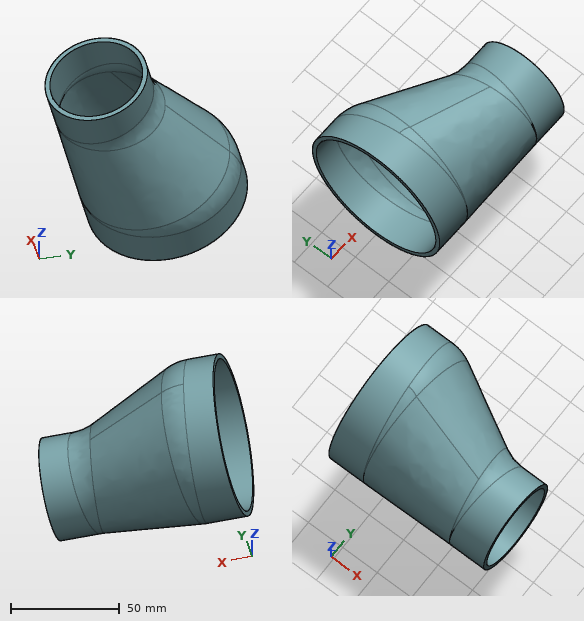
import cadquery as cq
import math

length = 90.0
large_diameter = 76.1
large_bore = 71.5
small_diameter = 48.3

large_radius = large_diameter / 2
small_radius = small_diameter / 2
wall = (large_diameter - large_bore) / 2
flush_side = -large_radius

large_joint = 20.1
small_joint = 70.1
slope = math.atan2(large_diameter - small_diameter, small_joint - large_joint)

bend_radius = 23.4
bend_tangent = bend_radius * math.tan(slope / 2)
bend_steps = 4

hinge_clearance = 0.45
hinge_y = flush_side - hinge_clearance


def section_ends(joint, top, bottom_y):
    """Top and bottom of a section in the plane through the joint's hinge line."""
    share = (bottom_y - hinge_y) / (top[1] - hinge_y)
    return top, (joint + share * (top[0] - joint), bottom_y)


def elliptical_wire(ends, half_width):
    """Ellipse spanning the two ends in the XY plane, symmetric about that plane."""
    top, bottom = (cq.Vector(x, y, 0) for x, y in ends)
    along = top - bottom
    plane = cq.Plane(origin=(top + bottom) / 2, xDir=along, normal=along.cross(cq.Vector(0, 0, 1)))
    ellipse = cq.Workplane(plane).ellipse(along.Length / 2, half_width)
    return ellipse.wires().val()


def end_circle(x, radius, bottom_y):
    """Circular section of a straight end, resting on the straight side."""
    return elliptical_wire(((x, bottom_y + 2 * radius), (x, bottom_y)), radius)


def cone_half_width(ends, inset):
    """Half-width of the conical middle where a tilted section cuts it."""
    (top_x, top_y), (bottom_x, bottom_y) = ends
    middle_x = (top_x + bottom_x) / 2
    middle_y = (top_y + bottom_y) / 2
    cone_top = large_radius - (middle_x - large_joint) * math.tan(slope) - inset / math.cos(slope)
    radius = (cone_top - bottom_y) / 2
    return math.sqrt(radius**2 - (middle_y - bottom_y - radius) ** 2)


def bend_sections(joint, center, radius, end_radius, inset):
    """Sections from the straight end to the cone.

    The center and radius give the arc along the +Y side. A positive radius makes a
    convex bend leading towards +X, a negative one a concave bend leading towards -X.
    """
    bottom_y = flush_side + inset

    def ends_at(angle):
        top = (
            center[0] + radius * math.sin(angle),
            center[1] + radius * math.cos(angle),
        )
        return section_ends(joint, top, bottom_y)

    cone_width = cone_half_width(ends_at(slope), inset)
    wires = []
    for step in range(bend_steps + 1):
        angle = slope * step / bend_steps
        share = (1 - math.cos(angle)) / (1 - math.cos(slope))
        half_width = end_radius + share * (cone_width - end_radius)
        wires.append(elliptical_wire(ends_at(angle), half_width))
    return wires


def reducer_solid(inset):
    """Solid bounded by the outer surface moved inwards by the inset."""
    bottom_y = flush_side + inset
    large_end_radius = large_radius - inset
    small_end_radius = small_radius - inset

    large_center = (large_joint - bend_tangent, large_radius - bend_radius)
    small_center = (small_joint + bend_tangent, flush_side + small_diameter + bend_radius)

    large_bend = bend_sections(large_joint, large_center, bend_radius - inset, large_end_radius, inset)
    small_bend = bend_sections(small_joint, small_center, -(bend_radius + inset), small_end_radius, inset)

    stretches = (
        ([end_circle(0, large_end_radius, bottom_y), large_bend[0]], True),
        (large_bend, False),
        ([large_bend[-1], small_bend[-1]], True),
        (small_bend[::-1], False),
        ([small_bend[0], end_circle(length, small_end_radius, bottom_y)], True),
    )
    solids = [cq.Solid.makeLoft(wires, ruled) for wires, ruled in stretches]
    first, *others = solids
    return cq.Workplane(first.fuse(*others))


result = reducer_solid(0).cut(reducer_solid(wall))